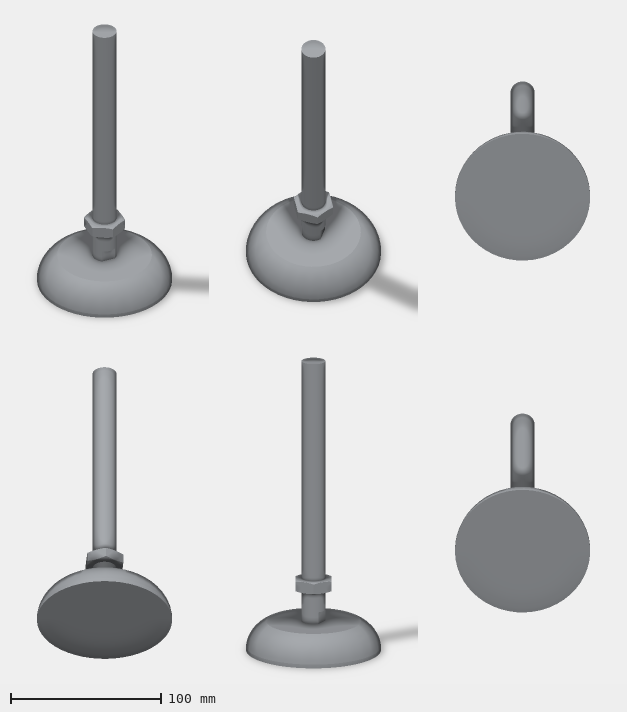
import cadquery as cq
import math

total_height = 200.0

foot_diameter = 90.0
foot_height = 20.0
foot_top_diameter = 63.0
rim_height = 2.5
socket_depth = 10.0
dome_radius = 21.8

stem_diameter = 16.0
flats_width = 13.0
flats_height = 8.0

nut_across_flats = 24.0
nut_thickness = 8.0
nut_bottom = 41.8
nut_face_diameter = 23.5
nut_chamfer_angle = 20.0


def make_foot():
    """Revolved disc with a domed shoulder and a blind socket in its flat top."""
    profile = (
        cq.Workplane("XZ")
        .lineTo(foot_diameter / 2, 0)
        .lineTo(foot_diameter / 2, rim_height)
        .radiusArc((foot_top_diameter / 2, foot_height), -dome_radius)
        .lineTo(0, foot_height)
        .close()
    )
    disc = profile.revolve(360, (0, 0, 0), (0, 1, 0))
    socket = (
        cq.Workplane("XY")
        .workplane(offset=foot_height - socket_depth)
        .circle(stem_diameter / 2)
        .extrude(socket_depth)
    )
    return disc.cut(socket)


def make_stem():
    """Rod filling the foot's socket, with flats facing -X and +X just above the foot."""
    stem_bottom = foot_height - socket_depth
    rod = (
        cq.Workplane("XY")
        .workplane(offset=stem_bottom)
        .circle(stem_diameter / 2)
        .extrude(total_height - stem_bottom)
    )
    flats_base = cq.Workplane("XY").workplane(offset=foot_height)
    flats_zone = flats_base.circle(stem_diameter / 2).extrude(flats_height)
    between_flats = flats_base.rect(flats_width, stem_diameter).extrude(flats_height)
    return rod.cut(flats_zone.cut(between_flats))


def make_nut():
    """Hexagon nut with corners towards -X and +X, chamfered at both ends."""
    corner_diameter = nut_across_flats / math.cos(math.pi / 6)
    corner_radius = corner_diameter / 2
    face_radius = nut_face_diameter / 2
    chamfer_height = (corner_radius - face_radius) * math.tan(math.radians(nut_chamfer_angle))

    hexagon = cq.Workplane("XY").polygon(6, corner_diameter).extrude(nut_thickness)
    chamfer_envelope = (
        cq.Workplane("XZ")
        .lineTo(face_radius, 0)
        .lineTo(corner_radius, chamfer_height)
        .lineTo(corner_radius, nut_thickness - chamfer_height)
        .lineTo(face_radius, nut_thickness)
        .lineTo(0, nut_thickness)
        .close()
        .revolve(360, (0, 0, 0), (0, 1, 0))
    )
    bore = cq.Workplane("XY").circle(stem_diameter / 2).extrude(nut_thickness)
    return hexagon.intersect(chamfer_envelope).cut(bore).translate((0, 0, nut_bottom))


foot = make_foot()
stem = make_stem()
nut = make_nut()

result = cq.Compound.makeCompound([foot.val(), stem.val(), nut.val()])